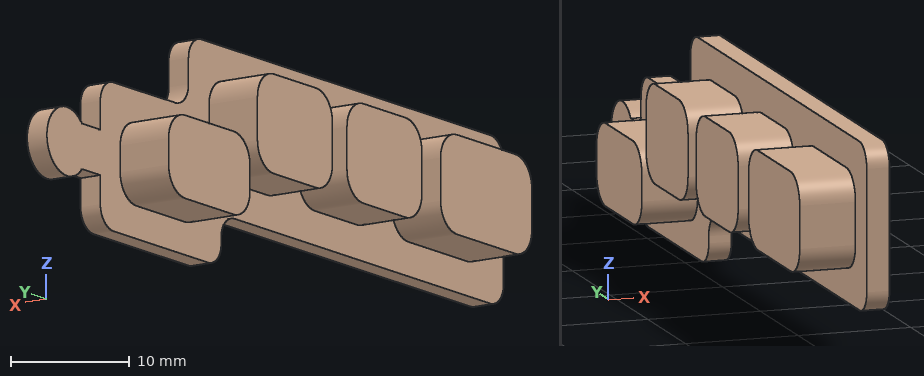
import cadquery as cq
import math

total_length = 67.8
total_height = 19.1
plate_thickness = 2.0
corner_radius = 1.95

main_length = 46.75
main_height = 14.6
main_bottom = total_height - main_height

tail_start = 41.9
tail_end = 59.85
tail_height = 12.9
tail_middle = tail_height / 2

tab_radius = 3.0
neck_width = 3.9
tab_center = total_length - tab_radius
neck_half = neck_width / 2
neck_end = tab_center - math.sqrt(tab_radius**2 - neck_half**2)

key_height = 4.95
key_radius = 2.45
main_key_width = 8.6
tail_key_width = 7.2
main_key_middle = main_bottom + main_height / 2
short_key_length = 11.1
long_key_length = 13.55
tail_key_length = 12.05

keys = [
    (9.75, main_key_middle, long_key_length, main_key_width),
    (24.9, main_key_middle, short_key_length, main_key_width),
    (38.15, main_key_middle, short_key_length, main_key_width),
    ((tail_start + tail_end) / 2, tail_middle, tail_key_length, tail_key_width),
]


def make_body():
    """Stepped plate with all convex and concave step corners rounded."""
    outline = [
        (0, main_bottom),
        (tail_start, main_bottom),
        (tail_start, 0),
        (tail_end, 0),
        (tail_end, tail_height),
        (main_length, tail_height),
        (main_length, total_height),
        (0, total_height),
    ]
    plate = cq.Workplane("YZ").polyline(outline).close().extrude(plate_thickness)
    return plate.edges("|X").fillet(corner_radius)


def make_tab():
    """Neck and round end joined to the end of the tail."""
    return (
        cq.Workplane("YZ")
        .moveTo(tail_end, tail_middle - neck_half)
        .lineTo(neck_end, tail_middle - neck_half)
        .threePointArc((total_length, tail_middle), (neck_end, tail_middle + neck_half))
        .lineTo(tail_end, tail_middle + neck_half)
        .close()
        .extrude(plate_thickness)
    )


def make_key(center_y, center_z, length, width):
    """Rounded rectangular key rising from the plate toward -X."""
    return (
        cq.Workplane("YZ")
        .center(center_y, center_z)
        .rect(length, width)
        .extrude(-key_height)
        .edges("|X")
        .fillet(key_radius)
    )


result = make_body().union(make_tab())
for key in keys:
    result = result.union(make_key(*key))